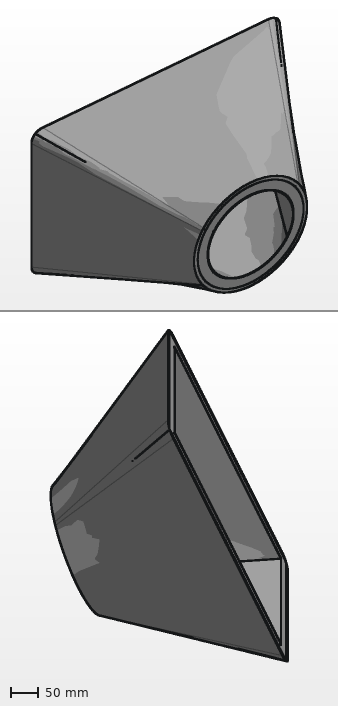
import cadquery as cq
import math

LENGTH = 300.0

SKIN_WIDTH = 563.0
SKIN_HEIGHT = 358.0
SKIN_CORNER_RADIUS = 26.0
SKIN_DIAMETER = 257.0
SIDE_ARC_ANGLE = math.radians(31)
TOP_ARC_ANGLE = math.radians(34)

CORE_WIDTH = 545.0
CORE_HEIGHT = 344.5
CORE_DIAMETER = 240.0

PASSAGE_WIDTH = 496.5
PASSAGE_HEIGHT = 297.0
PASSAGE_DIAMETER = 192.0
LINER_THICKNESS = 1.5


def closed_loop(x, points, middles):
    """Wire in the plane at x through (y, z) points; a middle point makes a stretch an arc, None a line."""
    edges = []
    for i, start in enumerate(points):
        end = points[(i + 1) % len(points)]
        first = cq.Vector(x, *start)
        last = cq.Vector(x, *end)
        if middles[i] is None:
            edges.append(cq.Edge.makeLine(first, last))
        else:
            edges.append(cq.Edge.makeThreePointArc(first, cq.Vector(x, *middles[i]), last))
    return cq.Wire.assembleEdges(edges)


def polar(radius, angle):
    return (radius * math.cos(angle), radius * math.sin(angle))


def split_circle(diameter, angles):
    """Circle at the round end, divided into arcs at the given rising angles."""
    radius = diameter / 2
    ends = angles[1:] + [angles[0] + 2 * math.pi]
    points = [polar(radius, angle) for angle in angles]
    middles = [polar(radius, (start + end) / 2) for start, end in zip(angles, ends)]
    return closed_loop(LENGTH, points, middles)


def mirrored_angles(first_quadrant):
    """Rising angles in all four quadrants, mirrored from those in the first."""
    back = [math.pi - angle for angle in reversed(first_quadrant)]
    half = first_quadrant + back
    return half + [angle + math.pi for angle in half]


def sharp_transition(width, height, diameter):
    """Solid whose rectangular end has sharp corners; each side blends into one arc of the circle."""
    y = width / 2
    z = height / 2
    rectangle = closed_loop(0, [(y, z), (-y, z), (-y, -z), (y, -z)], [None] * 4)
    circle = split_circle(diameter, mirrored_angles([math.atan2(z, y)]))
    return cq.Solid.makeLoft([rectangle, circle], True)


def rounded_transition(width, height, corner_radius, diameter):
    """Solid whose rectangular end has round corners; sides and corners each blend into an arc."""
    y = width / 2
    z = height / 2
    flat_y = y - corner_radius
    flat_z = z - corner_radius
    diagonal = corner_radius * math.sqrt(0.5)
    points = []
    middles = []
    for y_sign, z_sign in [(1, 1), (-1, 1), (-1, -1), (1, -1)]:
        side_end = (y_sign * y, z_sign * flat_z)
        top_end = (y_sign * flat_y, z_sign * z)
        points += [side_end, top_end] if y_sign == z_sign else [top_end, side_end]
        middles += [(y_sign * (flat_y + diagonal), z_sign * (flat_z + diagonal)), None]
    rectangle = closed_loop(0, points, middles)
    circle = split_circle(diameter, mirrored_angles([SIDE_ARC_ANGLE, TOP_ARC_ANGLE]))
    return cq.Solid.makeLoft([rectangle, circle], True)


def shell(outside, inside):
    return cq.Workplane(outside).cut(cq.Workplane(inside))


skin_envelope = rounded_transition(SKIN_WIDTH, SKIN_HEIGHT, SKIN_CORNER_RADIUS, SKIN_DIAMETER)
core_envelope = sharp_transition(CORE_WIDTH, CORE_HEIGHT, CORE_DIAMETER)
liner_envelope = sharp_transition(
    PASSAGE_WIDTH + 2 * LINER_THICKNESS,
    PASSAGE_HEIGHT + 2 * LINER_THICKNESS,
    PASSAGE_DIAMETER + 2 * LINER_THICKNESS,
)
passage = sharp_transition(PASSAGE_WIDTH, PASSAGE_HEIGHT, PASSAGE_DIAMETER)

skin = shell(skin_envelope, core_envelope)
core = shell(core_envelope, liner_envelope)
liner = shell(liner_envelope, passage)

result = cq.Compound.makeCompound([skin.val(), core.val(), liner.val()])